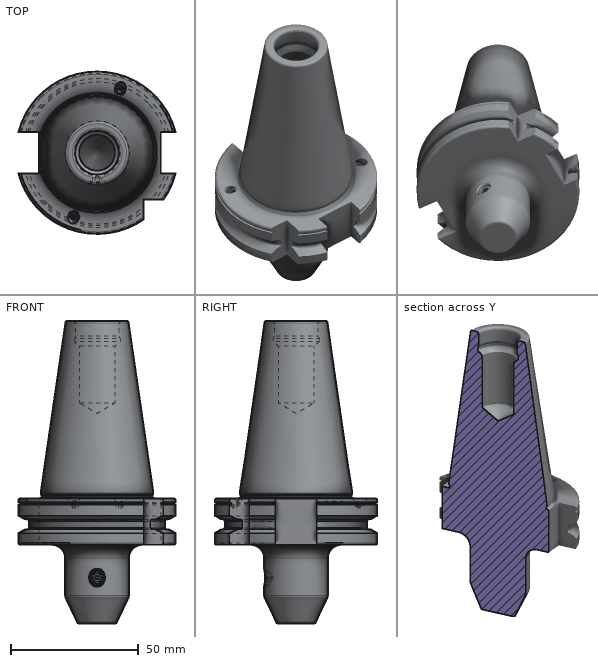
import cadquery as cq
import math


TOTAL_LEN = 118.4

GAUGE_R = 22.3
TAPER_LEN = 68.4
TAPER_SLOPE = 7 / 48
TAPER_START_Z = 1.3
TAPER_TOP_ROUND = 1.0
UNDERCUT_R = 21.7
UNDERCUT_STEP_Z = 0.6
WAIST_TOP_Z = 0.2
WAIST_BOTTOM_Z = -0.5
FOOT_GROOVE_R = 22.7
FOOT_GROOVE_OUTER_R = 23.5
FOOT_GROOVE_DEPTH = 0.2

FLANGE_R = 63.6 / 2
FLANGE_TOP_Z = -1.0
FLANGE_BOTTOM_Z = -19.2
FLANGE_ROUND = 1.0
RELIEF_R = 31.1
RELIEF_TOP_Z = -2.5
RELIEF_SLOPE_Z = -2.8
RELIEF_BOTTOM_Z = -3.4

VEE_Z = -11.1
VEE_MOUTH = 6.9
VEE_INNER_WIDTH = 3.8
VEE_INNER_R = FLANGE_R - (VEE_MOUTH - VEE_INNER_WIDTH) / 2 * math.sqrt(3)
VEE_FLOOR_R = 27.8
VEE_CORNER_ROUND = 0.6

SLOT_WIDTH = 16.1
SLOT_LEFT_X = -22.7
SLOT_RIGHT_X = 25.0
NOTCH_X = 18.2
NOTCH_Y = -18.4

NOSE_R = 12.5
NOSE_FILLET = 5.0
NOSE_BOTTOM_Z = TAPER_LEN - TOTAL_LEN
NOSE_CONE_TOP_Z = -39.3
NOSE_TIP_R = 7.5
NOSE_SHOULDER_ROUND = 2.4
NOSE_TIP_ROUND = 1.2

BORE_R = 8.5
BORE_MOUTH_ROUND = 1.2
BORE_RING_R = 9.0
BORE_RING_TOP = 5.9
BORE_RING_SLOPE = 6.9
BORE_RING_BOTTOM = 8.0
CORE_R = 7.0
CORE_TOP = 9.8
CORE_DEPTH = 32.0
DRILL_HALF_ANGLE = math.radians(59)

SCREW_Z = -32.0
SCREW_MOUTH_R = 3.5
SCREW_R = 3.0
SCREW_EDGE = 0.5
SCREW_FACE_DEPTH = 1.0
SCREW_SOCKET_ACROSS = 3.8
SCREW_SOCKET_DEPTH = 1.8
SCREW_DRILL_R = 0.7
SCREW_DRILL_DEPTH = 0.7

COOLANT_R = 2.1
COOLANT_PITCH_R = 26.9
COOLANT_ANGLES = (70, 250)
COOLANT_TILT = 30
COOLANT_DEPTH = 2.1
COOLANT_SOCKET_ACROSS = 2.8
COOLANT_SOCKET_DEPTH = 1.4

CUT_MARGIN = 5.9


def revolve(profile):
    """Close a (radius, height) outline and turn it around the vertical axis of its plane."""
    return profile.close().revolve(360, (0, 0, 0), (0, 1, 0))


def taper_radius(z):
    return GAUGE_R - z * TAPER_SLOPE


def make_taper():
    profile = (
        cq.Workplane("XZ")
        .moveTo(0, FLANGE_TOP_Z - FOOT_GROOVE_DEPTH)
        .lineTo(FOOT_GROOVE_R, FLANGE_TOP_Z - FOOT_GROOVE_DEPTH)
        .lineTo(UNDERCUT_R, WAIST_BOTTOM_Z)
        .lineTo(UNDERCUT_R, WAIST_TOP_Z)
        .lineTo(taper_radius(TAPER_START_Z), UNDERCUT_STEP_Z)
        .lineTo(taper_radius(TAPER_START_Z), TAPER_START_Z)
        .lineTo(taper_radius(TAPER_LEN), TAPER_LEN)
        .lineTo(0, TAPER_LEN)
    )
    return revolve(profile).faces(">Z").edges().fillet(TAPER_TOP_ROUND)


def make_flange():
    disc = (
        cq.Workplane("XY", origin=(0, 0, FLANGE_BOTTOM_Z))
        .circle(FLANGE_R)
        .extrude(FLANGE_TOP_Z - FLANGE_BOTTOM_Z)
        .edges("%CIRCLE")
        .fillet(FLANGE_ROUND)
    )
    relief = revolve(
        cq.Workplane("XZ")
        .moveTo(FLANGE_R, RELIEF_TOP_Z)
        .lineTo(RELIEF_R, RELIEF_SLOPE_Z)
        .lineTo(RELIEF_R, RELIEF_BOTTOM_Z)
        .lineTo(FLANGE_R, RELIEF_BOTTOM_Z)
    )
    vee_inner_top = VEE_Z + VEE_INNER_WIDTH / 2
    vee_inner_bottom = VEE_Z - VEE_INNER_WIDTH / 2
    corner_mid = VEE_CORNER_ROUND * (1 - math.sqrt(0.5))
    vee = revolve(
        cq.Workplane("XZ")
        .moveTo(FLANGE_R, VEE_Z + VEE_MOUTH / 2)
        .lineTo(VEE_INNER_R, vee_inner_top)
        .lineTo(VEE_FLOOR_R + VEE_CORNER_ROUND, vee_inner_top)
        .threePointArc(
            (VEE_FLOOR_R + corner_mid, vee_inner_top - corner_mid),
            (VEE_FLOOR_R, vee_inner_top - VEE_CORNER_ROUND),
        )
        .lineTo(VEE_FLOOR_R, vee_inner_bottom + VEE_CORNER_ROUND)
        .threePointArc(
            (VEE_FLOOR_R + corner_mid, vee_inner_bottom + corner_mid),
            (VEE_FLOOR_R + VEE_CORNER_ROUND, vee_inner_bottom),
        )
        .lineTo(VEE_INNER_R, vee_inner_bottom)
        .lineTo(FLANGE_R, VEE_Z - VEE_MOUTH / 2)
    )
    foot_groove = revolve(
        cq.Workplane("XZ")
        .moveTo(0, FLANGE_TOP_Z)
        .lineTo(FOOT_GROOVE_OUTER_R, FLANGE_TOP_Z)
        .lineTo(FOOT_GROOVE_R, FLANGE_TOP_Z - FOOT_GROOVE_DEPTH)
        .lineTo(0, FLANGE_TOP_Z - FOOT_GROOVE_DEPTH)
    )
    return disc.cut(relief).cut(vee).cut(foot_groove)


def flange_cutter(x_min, x_max, y_min, y_max):
    """Box through the whole flange height."""
    height = FLANGE_TOP_Z - FLANGE_BOTTOM_Z
    return (
        cq.Workplane("XY", origin=(x_min, y_min, FLANGE_BOTTOM_Z))
        .box(x_max - x_min, y_max - y_min, height, centered=False)
    )


def cut_flange_openings(flange):
    reach = FLANGE_R + CUT_MARGIN
    half_slot = SLOT_WIDTH / 2
    left_slot = flange_cutter(-reach, SLOT_LEFT_X, -half_slot, half_slot)
    right_slot = flange_cutter(SLOT_RIGHT_X, reach, -half_slot, half_slot)
    notch = flange_cutter(NOTCH_X, reach, -reach, NOTCH_Y)
    return flange.cut(left_slot).cut(right_slot).cut(notch)


def make_nose():
    fillet_mid = NOSE_FILLET * (1 - math.sqrt(0.5))
    profile = (
        cq.Workplane("XZ")
        .moveTo(0, FLANGE_BOTTOM_Z)
        .lineTo(NOSE_R + NOSE_FILLET, FLANGE_BOTTOM_Z)
        .threePointArc(
            (NOSE_R + fillet_mid, FLANGE_BOTTOM_Z - fillet_mid),
            (NOSE_R, FLANGE_BOTTOM_Z - NOSE_FILLET),
        )
        .lineTo(NOSE_R, NOSE_CONE_TOP_Z)
        .lineTo(NOSE_TIP_R, NOSE_BOTTOM_Z)
        .lineTo(0, NOSE_BOTTOM_Z)
    )
    nose = revolve(profile)
    shoulder = cq.selectors.BoxSelector(
        (-CUT_MARGIN, -CUT_MARGIN, NOSE_CONE_TOP_Z - NOSE_SHOULDER_ROUND),
        (CUT_MARGIN, CUT_MARGIN, NOSE_CONE_TOP_Z + NOSE_SHOULDER_ROUND),
        boundingbox=False,
    )
    nose = nose.edges("%CIRCLE").edges(shoulder).fillet(NOSE_SHOULDER_ROUND)
    return nose.faces("<Z").edges().fillet(NOSE_TIP_ROUND)


def make_bore():
    """Space of the pull-stud bore: rounded mouth, ring groove, core hole and drill point."""
    top = TAPER_LEN
    mouth_mid = BORE_MOUTH_ROUND * (1 - math.sqrt(0.5))
    return revolve(
        cq.Workplane("XZ")
        .moveTo(0, top)
        .lineTo(BORE_R + BORE_MOUTH_ROUND, top)
        .threePointArc((BORE_R + mouth_mid, top - mouth_mid), (BORE_R, top - BORE_MOUTH_ROUND))
        .lineTo(BORE_R, top - BORE_RING_TOP)
        .lineTo(BORE_RING_R, top - BORE_RING_SLOPE)
        .lineTo(BORE_RING_R, top - BORE_RING_BOTTOM)
        .lineTo(CORE_R, top - CORE_TOP)
        .lineTo(CORE_R, top - CORE_DEPTH)
        .lineTo(0, top - CORE_DEPTH - CORE_R / math.tan(DRILL_HALF_ANGLE))
    )


def make_clamp_screw_recess():
    """Recess over the clamping screw on the -Y side, with the hexagon socket of the screw."""
    bevel_depth = SCREW_FACE_DEPTH + SCREW_EDGE
    socket_depth = SCREW_FACE_DEPTH + SCREW_SOCKET_DEPTH
    recess = revolve(
        cq.Workplane("XY")
        .moveTo(0, CUT_MARGIN)
        .lineTo(SCREW_MOUTH_R, CUT_MARGIN)
        .lineTo(SCREW_MOUTH_R, 0)
        .lineTo(SCREW_R, SCREW_R - SCREW_MOUTH_R)
        .lineTo(SCREW_R, -bevel_depth)
        .lineTo(SCREW_R - SCREW_EDGE, -SCREW_FACE_DEPTH)
        .lineTo(0, -SCREW_FACE_DEPTH)
    ).rotate((0, 0, 0), (0, 0, 1), 180).translate((0, -NOSE_R, SCREW_Z))
    surface = cq.Plane(origin=(0, -NOSE_R, SCREW_Z), xDir=(1, 0, 0), normal=(0, 1, 0))
    socket = cq.Workplane(surface).polygon(6, SCREW_SOCKET_ACROSS).extrude(socket_depth)
    drill = cq.Workplane(surface).circle(SCREW_DRILL_R).extrude(socket_depth + SCREW_DRILL_DEPTH)
    return recess.union(socket).union(drill)


def make_coolant_hole(angle):
    """Slanted blind hole with a hexagon socket in its floor."""
    tilt = math.radians(COOLANT_TILT)
    plane = cq.Plane(
        origin=(COOLANT_PITCH_R, 0, FLANGE_TOP_Z),
        xDir=(0, 1, 0),
        normal=(-math.sin(tilt), 0, -math.cos(tilt)),
    )
    hole = (
        cq.Workplane(plane)
        .workplane(offset=-CUT_MARGIN)
        .circle(COOLANT_R)
        .extrude(CUT_MARGIN + COOLANT_DEPTH)
    )
    socket = (
        cq.Workplane(plane)
        .polygon(6, COOLANT_SOCKET_ACROSS)
        .extrude(COOLANT_DEPTH + COOLANT_SOCKET_DEPTH)
    )
    return hole.union(socket).rotate((0, 0, 0), (0, 0, 1), angle)


flange = cut_flange_openings(make_flange())
for hole_angle in COOLANT_ANGLES:
    flange = flange.cut(make_coolant_hole(hole_angle))

result = flange.union(make_taper()).union(make_nose())
result = result.cut(make_bore()).cut(make_clamp_screw_recess())